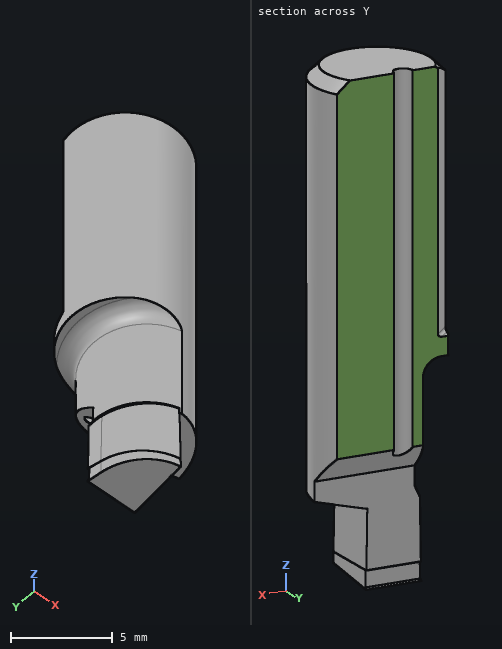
import cadquery as cq
import math

total_height = 27.0
shank_radius = 3.496
end_chamfer = 0.62
overcut = 5.4

flat_direction = 135
flat_distance = 2.92
flat_bottom = 13.01
flat_fillet = 0.15

coolant_radius = 0.5
coolant_x = -0.6
coolant_y = 1.6

neck_axis_x = 1.4
shoulder_z = 12.0
shoulder_fillet = 0.95

runout_low_z = 6.02
runout_high_z = 9.35
runout_width = 3.45

underside_z = 4.97
underside_x_slope = 0.27
clearance_slope = 0.12

blade_top_z = 4.97
blade_axis_x = 1.22
blade_wall_x = 0.55
blade_draft_shift = 0.08
outer_flat_width = 0.78
flare_growth = 0.48

tip_height = 1.0
rake_depth = 0.08
rake_lip_height = 0.1


def blade_points(draft):
    """Corners of a blade section: outer edge at Y = 0, tangent point, arc middle, arc end."""
    axis_x = blade_axis_x - draft
    wall_x = blade_wall_x + draft
    start_angle = math.asin(outer_flat_width / shank_radius)
    end_angle = math.acos((axis_x - wall_x) / shank_radius)

    def on_arc(angle):
        return (axis_x - shank_radius * math.cos(angle), -shank_radius * math.sin(angle))

    tangent_point = on_arc(start_angle)
    outer_edge = (tangent_point[0] - outer_flat_width * math.tan(start_angle), 0)
    return outer_edge, tangent_point, on_arc((start_angle + end_angle) / 2), on_arc(end_angle), wall_x


def blade_section(plane, draft):
    """Blade section with an outer flat, an outer arc and a straight inner wall."""
    outer_edge, tangent_point, arc_middle, arc_end, wall_x = blade_points(draft)
    return (
        plane.moveTo(wall_x, 0)
        .lineTo(*outer_edge)
        .lineTo(*tangent_point)
        .threePointArc(arc_middle, arc_end)
        .close()
    )


def make_blade():
    """Blade from the end plane Z = 0 to the neck, flared at its top to meet the neck."""
    lower_section = blade_section(cq.Workplane("XY"), blade_draft_shift)
    blade = blade_section(lower_section.workplane(offset=blade_top_z), 0).loft(ruled=True)
    flare = (
        cq.Workplane("XZ")
        .polyline([
            (0, 0),
            (shank_radius + flare_growth * blade_top_z, 0),
            (shank_radius, blade_top_z),
            (0, blade_top_z),
        ])
        .close()
        .revolve(360, (0, 0), (0, 1))
        .translate((neck_axis_x, 0, 0))
    )
    return blade.intersect(flare)


def shoulder_cutter():
    """Ring around the neck axis that leaves the neck and its filleted shoulder."""
    diagonal = shoulder_fillet * (1 - math.sqrt(0.5))
    return (
        cq.Workplane("XZ")
        .moveTo(shank_radius, -overcut)
        .lineTo(shank_radius, shoulder_z - shoulder_fillet)
        .threePointArc(
            (shank_radius + diagonal, shoulder_z - diagonal),
            (shank_radius + shoulder_fillet, shoulder_z),
        )
        .lineTo(shank_radius + overcut, shoulder_z)
        .lineTo(shank_radius + overcut, -overcut)
        .close()
        .revolve(360, (0, 0), (0, 1))
        .translate((neck_axis_x, 0, 0))
    )


def runout_cutter():
    """Removes the +Y half of the bar below the run-out slope."""
    slope = (runout_high_z - runout_low_z) / runout_width
    return (
        cq.Workplane("YZ")
        .polyline([
            (0, -overcut),
            (0, runout_low_z),
            (overcut, runout_low_z + slope * overcut),
            (overcut, -overcut),
        ])
        .close()
        .extrude(overcut, both=True)
    )


def below_plane(z_at_axis, x_slope, y_slope):
    """Large block under the plane z = z_at_axis + x_slope * x + y_slope * y."""
    side = 4 * overcut
    plane = cq.Plane(origin=(0, 0, z_at_axis), xDir=(1, 0, x_slope), normal=(-x_slope, -y_slope, 1))
    return cq.Workplane(plane).rect(side, side).extrude(-side)


def flat_cutter():
    """Block outside the clamping flat, with a rounded lower inner edge."""
    cut_height = total_height - flat_bottom + overcut
    return (
        cq.Workplane("XY")
        .box(overcut, 2 * overcut, cut_height, centered=(False, True, False))
        .edges("<X and <Z")
        .fillet(flat_fillet)
        .translate((flat_distance, 0, flat_bottom))
        .rotate((0, 0, 0), (0, 0, 1), flat_direction)
    )


def make_holder(blade):
    """Shank, neck and upper blade in one solid."""
    bar = cq.Workplane("XY").circle(shank_radius).extrude(total_height)
    bar = bar.faces(">Z").edges().chamfer(end_chamfer)
    bar = bar.cut(flat_cutter()).cut(shoulder_cutter()).cut(runout_cutter())
    underside_at_axis = underside_z - underside_x_slope * shank_radius
    bar = bar.cut(below_plane(underside_at_axis, underside_x_slope, -clearance_slope))
    upper_blade = blade.cut(below_plane(tip_height, 0, 0))
    coolant_hole = (
        cq.Workplane("XY").center(coolant_x, coolant_y).circle(coolant_radius).extrude(total_height)
    )
    return bar.union(upper_blade).cut(coolant_hole)


def make_tip(blade):
    """Cutting tip under the blade, with a relieved end face and a rake recess."""
    tip = blade.intersect(below_plane(tip_height, 0, 0))
    rake_recess = (
        cq.Workplane("YZ")
        .polyline([(0, 0), (-rake_depth, rake_lip_height), (-rake_depth, tip_height), (0, tip_height)])
        .close()
        .extrude(overcut, both=True)
    )
    return tip.cut(below_plane(0, 0, -clearance_slope)).cut(rake_recess)


full_blade = make_blade()
holder = make_holder(full_blade)
cutting_tip = make_tip(full_blade)

result = cq.Compound.makeCompound([holder.solids().val(), cutting_tip.solids().val()])